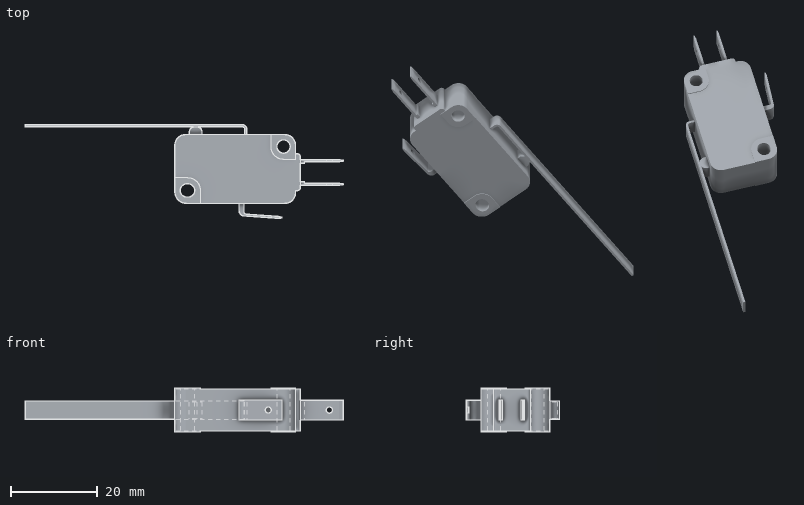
import cadquery as cq
import math

overall_length = 73.3
overall_height = 10.2

body_length = 27.9
body_width = 15.9
pad_rise = 0.2
body_height = overall_height - 2 * pad_rise
corner_radius = 2.5
slot_corner_radius = 2.7

left_pad_size = 5.95
right_pad_size = 5.7
pad_inner_radius = 2.9
hole_diameter = 3.0
hole_inset = 2.8
slot_length = 3.3
slot_inset_x = 2.9
slot_inset_y = 3.0

step_depth = 1.1
step_start = 2.9
step_end = 11.5
step_radius = 0.7

lever_reach = 34.5
lever_top = 18.2
lever_thickness = 0.5
lever_width = 4.25
lever_bend_x = 16.65
lever_bend_radius = 1.1

plunger_width = 3.0
plunger_depth = 3.8
plunger_x = 4.85
plunger_radius = 1.25

terminal_width = 4.6
terminal_thickness = 0.5
terminal_outer_faces = (4.2, 10.1)
root_thickness = 0.9
root_length = 0.95
tip_length = 0.95
tip_thickness = 0.2
tip_inset = (terminal_thickness - tip_thickness) / 2
terminal_hole_diameter = 1.4
hole_to_tip = 3.2

common_x = 14.8
common_end_x = 24.8
common_bottom = -3.45
common_leg_thickness = 1.2
common_bend_radius = 1.25
common_inner_radius = 0.5
common_slope = math.radians(4)


def centred_plate(outline, height):
    """Extrude a closed outline symmetrically about Z = 0."""
    return outline.extrude(height / 2, both=True)


def rounded_housing(height):
    """Housing outline with four rounded corners, the one by the slot slightly larger."""
    block = cq.Workplane("XY").box(body_length, body_width, height)
    block = block.translate((body_length / 2, body_width / 2, 0))
    slot_corner = "<(1, 1, 0)"
    block = block.edges("|Z").edges(slot_corner).fillet(slot_corner_radius)
    for corner in (">(1, 1, 0)", ">(1, -1, 0)", "<(1, -1, 0)"):
        block = block.edges("|Z").edges(corner).fillet(corner_radius)
    return block


def corner_pad(x, y, size, inner_edge):
    """Full-height pad clipped to the housing outline, with one rounded inner corner."""
    pad = cq.Workplane("XY").box(size, size, overall_height).translate((x, y, 0))
    pad = pad.edges("|Z").edges(inner_edge).fillet(pad_inner_radius)
    return pad.intersect(rounded_housing(overall_height))


def housing():
    step_width = step_end - step_start
    overlap = body_length / 2
    step = cq.Workplane("XY").box(overlap + step_depth, step_width, body_height)
    step = step.edges("|Z and >X").fillet(step_radius)
    step = step.translate(((body_length + step_depth + overlap) / 2, (step_start + step_end) / 2, 0))

    left_pad = corner_pad(left_pad_size / 2, left_pad_size / 2, left_pad_size, ">(1, 1, 0)")
    right_pad = corner_pad(
        body_length - right_pad_size / 2, body_width - right_pad_size / 2, right_pad_size, "<(1, 1, 0)"
    )
    return rounded_housing(body_height).union(step).union(left_pad).union(right_pad)


def mounting_holes():
    round_hole = cq.Workplane("XY").center(body_length - hole_inset, body_width - hole_inset)
    round_hole = round_hole.circle(hole_diameter / 2)
    slot = cq.Workplane("XY").center(slot_inset_x, slot_inset_y).slot2D(slot_length, hole_diameter)
    return centred_plate(round_hole, overall_height).union(centred_plate(slot, overall_height))


def lever():
    lever_bottom = lever_top - lever_thickness
    inner_x = lever_bend_x - lever_thickness
    inner_radius = lever_bend_radius - lever_thickness
    outline = (
        cq.Workplane("XY")
        .moveTo(-lever_reach, lever_top)
        .lineTo(lever_bend_x - lever_bend_radius, lever_top)
        .radiusArc((lever_bend_x, lever_top - lever_bend_radius), lever_bend_radius)
        .lineTo(lever_bend_x, body_width)
        .lineTo(inner_x, body_width)
        .lineTo(inner_x, lever_bottom - inner_radius)
        .radiusArc((inner_x - inner_radius, lever_bottom), -inner_radius)
        .lineTo(-lever_reach, lever_bottom)
        .close()
    )
    return centred_plate(outline, lever_width)


def plunger():
    plunger_height = lever_top - lever_thickness - body_width
    block = cq.Workplane("XY").box(plunger_width, plunger_height, plunger_depth)
    block = block.edges("|Z and >Y").fillet(plunger_radius)
    return block.translate((plunger_x, body_width + plunger_height / 2, 0))


def cross_hole(x):
    """Cutter along Y for a wire hole, long enough to pass through any one terminal."""
    return cq.Workplane("XZ").center(x, 0).circle(terminal_hole_diameter / 2).extrude(body_width, both=True)


def blade(outer_face, inward):
    """Straight blade with a thick root and tapered tip; inward is the Y sign towards its twin."""
    root_x = body_length + step_depth
    tip_x = overall_length - lever_reach
    taper_x = tip_x - tip_length
    inner_face = outer_face + inward * terminal_thickness
    root_face = outer_face + inward * root_thickness
    outline = cq.Workplane("XY").polyline(
        [
            (root_x, outer_face),
            (taper_x, outer_face),
            (tip_x, outer_face + inward * tip_inset),
            (tip_x, inner_face - inward * tip_inset),
            (taper_x, inner_face),
            (root_x + root_length, inner_face),
            (root_x + root_length, root_face),
            (root_x, root_face),
        ]
    ).close()
    return centred_plate(outline, terminal_width).cut(cross_hole(tip_x - hole_to_tip))


def common_terminal():
    """Leg leaving the -Y side, bent into a thin sloping tab with a tapered tip."""
    slope = math.tan(common_slope)
    inner_x = common_x + common_leg_thickness
    taper_x = common_end_x - tip_length
    bend_end_x = common_x + common_bend_radius
    tab_start_x = inner_x + common_inner_radius

    def tab_bottom(x):
        return common_bottom + (taper_x - x) * slope

    def tab_top(x):
        return tab_bottom(x) + terminal_thickness

    outline = (
        cq.Workplane("XY")
        .moveTo(common_x, 0)
        .lineTo(common_x, tab_bottom(bend_end_x) + common_bend_radius)
        .radiusArc((bend_end_x, tab_bottom(bend_end_x)), -common_bend_radius)
        .lineTo(taper_x, common_bottom)
        .lineTo(common_end_x, tab_bottom(common_end_x) + tip_inset)
        .lineTo(common_end_x, tab_top(common_end_x) - tip_inset)
        .lineTo(taper_x, tab_top(taper_x))
        .lineTo(tab_start_x, tab_top(tab_start_x))
        .radiusArc((inner_x, tab_top(tab_start_x) + common_inner_radius), common_inner_radius)
        .lineTo(inner_x, 0)
        .close()
    )
    return centred_plate(outline, terminal_width).cut(cross_hole(common_end_x - hole_to_tip))


result = housing().cut(mounting_holes()).union(lever()).union(plunger())
result = result.union(common_terminal())
lower_face, upper_face = terminal_outer_faces
result = result.union(blade(lower_face, 1)).union(blade(upper_face, -1))